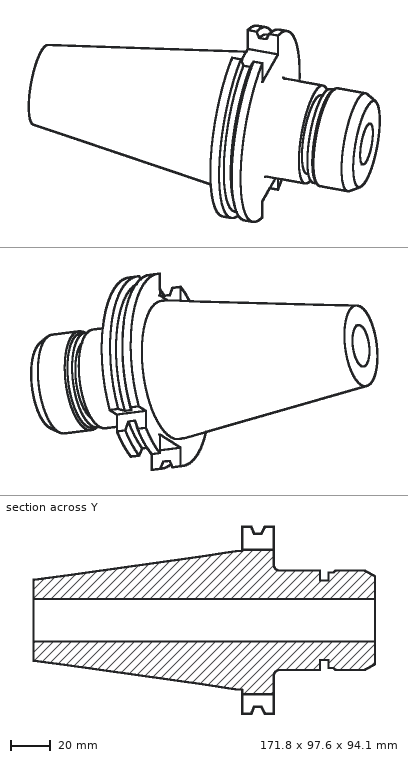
import cadquery as cq

total_length = 171.8
bore_radius = 10.5

taper_small_radius = 20.5
taper_large_radius = 34.9
taper_length = 101.7
neck_radius = 35.0
neck_start = 103.0

flange_start = 105.0
flange_end = 120.9
flange_radius = 48.8
groove_floor_radius = 45.3
groove_start = 109.5
groove_end = 116.3
groove_floor_start = 111.0
groove_floor_end = 114.5

shank_radius = 25.0
root_fillet = 3.0
neck_groove_start = 144.1
neck_groove_end = 148.2
neck_groove_radius = 20.1
collar_radius = 24.0
collar_end = 150.8
nose_chamfer_length = 4.6
nose_chamfer_height = 2.5
end_break = 0.5

slot_width = 25.8
top_slot_floor = 35.5
bottom_slot_floor = 37.3
notch_y = 30.0
notch_z = 29.5


def make_body():
    """Revolve the outer profile, with X along the axis and Y as radius."""
    return (
        cq.Workplane("XY")
        .moveTo(0, 0)
        .lineTo(0, taper_small_radius)
        .lineTo(taper_length, taper_large_radius)
        .lineTo(neck_start, neck_radius)
        .lineTo(flange_start, neck_radius)
        .lineTo(flange_start, flange_radius)
        .lineTo(groove_start, flange_radius)
        .lineTo(groove_floor_start, groove_floor_radius)
        .lineTo(groove_floor_end, groove_floor_radius)
        .lineTo(groove_end, flange_radius)
        .lineTo(flange_end, flange_radius)
        .lineTo(flange_end, shank_radius + root_fillet)
        .radiusArc((flange_end + root_fillet, shank_radius), -root_fillet)
        .lineTo(neck_groove_start, shank_radius)
        .lineTo(neck_groove_start, neck_groove_radius)
        .lineTo(neck_groove_end, neck_groove_radius)
        .lineTo(neck_groove_end, collar_radius)
        .lineTo(collar_end, collar_radius)
        .lineTo(collar_end + shank_radius - collar_radius, shank_radius)
        .lineTo(total_length - end_break - nose_chamfer_length, shank_radius)
        .lineTo(total_length - end_break, shank_radius - nose_chamfer_height)
        .lineTo(total_length, shank_radius - nose_chamfer_height - end_break)
        .lineTo(total_length, 0)
        .close()
        .revolve(360, (0, 0, 0), (1, 0, 0))
    )


def flange_cutter(y_min, y_max, z_min, z_max):
    """Box spanning the flange thickness between the given Y and Z limits."""
    return (
        cq.Workplane("XY")
        .box(flange_end - flange_start, y_max - y_min, z_max - z_min, centered=False)
        .translate((flange_start, y_min, z_min))
    )


half_slot = slot_width / 2
top_slot = flange_cutter(-half_slot, half_slot, top_slot_floor, flange_radius)
bottom_slot = flange_cutter(-half_slot, half_slot, -flange_radius, -bottom_slot_floor)
notch = flange_cutter(notch_y, flange_radius, -flange_radius, -notch_z)
bore = cq.Workplane("YZ").circle(bore_radius).extrude(total_length)

result = make_body().cut(top_slot).cut(bottom_slot).cut(notch).cut(bore)